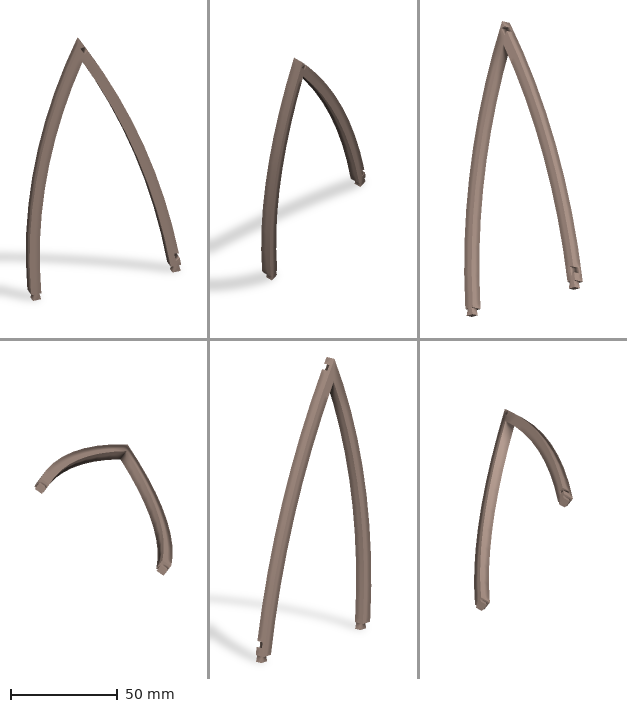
import cadquery as cq
import math

thickness = 5.0
leg_width = 5.1
height = 137.7
apex_y = -12.0
shoulder_z = 3.3

back_center = (-327.7, -56.0)
front_center = (222.8, 24.4)

foot_top_z = 5.4
foot_outer_y = -36.9
foot_width = 5.0

dovetail_width = 3.3
tail_neck = 2.5
tail_base = 4.1
tail_centers_y = (35.7, -34.1)
socket_clearance = 0.3
socket_depth = 2.2
socket_centers_y = (37.0, -9.5)
overlap = 0.3

apex = (apex_y, height)
back_outer_radius = math.dist(apex, back_center)
back_inner_radius = back_outer_radius - leg_width
front_outer_radius = math.dist(apex, front_center)
front_inner_radius = front_outer_radius - leg_width


def back_arc_point(radius, z):
    """Point at height z on an arc of the +Y leg."""
    return (back_center[0] + math.sqrt(radius**2 - (z - back_center[1])**2), z)


def front_arc_point(radius, z):
    """Point at height z on an arc of the -Y leg."""
    return (front_center[0] - math.sqrt(radius**2 - (z - front_center[1])**2), z)


def inner_apex():
    """Upper intersection of the two inner arcs."""
    span = math.dist(back_center, front_center)
    along_y = (front_center[0] - back_center[0]) / span
    along_z = (front_center[1] - back_center[1]) / span
    reach = (back_inner_radius**2 - front_inner_radius**2 + span**2) / (2 * span)
    rise = math.sqrt(back_inner_radius**2 - reach**2)
    return (
        back_center[0] + reach * along_y - rise * along_z,
        back_center[1] + reach * along_z + rise * along_y,
    )


def arch():
    crotch = inner_apex()
    outer_mid_z = (height + shoulder_z) / 2
    inner_mid_z = (crotch[1] + shoulder_z) / 2
    return (
        cq.Workplane("YZ")
        .moveTo(*back_arc_point(back_outer_radius, shoulder_z))
        .threePointArc(back_arc_point(back_outer_radius, outer_mid_z), apex)
        .threePointArc(
            front_arc_point(front_outer_radius, outer_mid_z),
            front_arc_point(front_outer_radius, foot_top_z),
        )
        .lineTo(foot_outer_y, shoulder_z)
        .lineTo(foot_outer_y + foot_width, shoulder_z)
        .lineTo(*front_arc_point(front_inner_radius, foot_top_z))
        .threePointArc(front_arc_point(front_inner_radius, inner_mid_z), crotch)
        .threePointArc(
            back_arc_point(back_inner_radius, inner_mid_z),
            back_arc_point(back_inner_radius, shoulder_z),
        )
        .close()
        .extrude(thickness / 2, both=True)
    )


def dovetail(neck, base, depth):
    """Dovetail flaring downward from its neck at the origin, flush with +X."""
    return (
        cq.Workplane("YZ", origin=(thickness / 2 - dovetail_width, 0, 0))
        .polyline([
            (-neck / 2, overlap),
            (-neck / 2, 0),
            (-base / 2, -depth),
            (base / 2, -depth),
            (neck / 2, 0),
            (neck / 2, overlap),
        ])
        .close()
        .extrude(dovetail_width)
    )


def socket(y):
    """Dovetail cutter set square to the outer arc of the back leg."""
    offset_y = y - back_center[0]
    z = back_center[1] + math.sqrt(back_outer_radius**2 - offset_y**2)
    tilt = math.degrees(math.atan2(offset_y, z - back_center[1]))
    cutter = dovetail(tail_neck + socket_clearance, tail_base + socket_clearance, socket_depth)
    return cutter.rotate((0, 0, 0), (1, 0, 0), -tilt).translate((0, y, z))


result = arch()
for tail_y in tail_centers_y:
    tail = dovetail(tail_neck, tail_base, shoulder_z)
    result = result.union(tail.translate((0, tail_y, shoulder_z)))
for socket_y in socket_centers_y:
    result = result.cut(socket(socket_y))